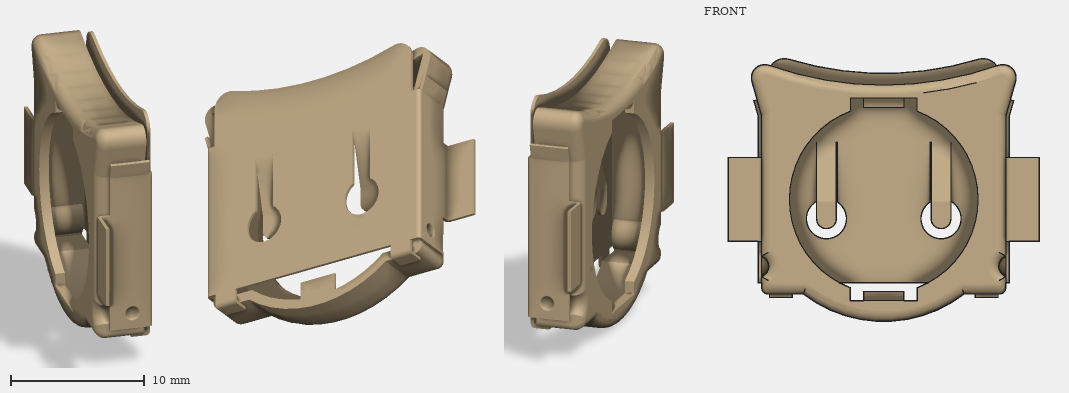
import cadquery as cq
import math


housing_depth = 3.68
shell = 0.75
side_x = 9.12
bottom_z = -7.07
flare_start_z = 6.23
top_corner = (10.42, 10.77)
top_middle_z = 8.54
top_corner_radius = 1.0
bottom_corner_radius = 0.5
bulge_half_width = 6.0
bulge_bottom_z = -9.12

opening_radius = 7.05
slot_half_width = 2.5
slot_half_height = 7.55
lip_half_width = 1.51
lip_inner_z = 6.86
lip_thickness = 0.16

sheet = 0.25
bend_inner = 0.07
bend_outer = bend_inner + sheet
clip_back_y = 4.33
plate_front_y = clip_back_y - sheet
wing_outer_x = side_x + sheet
wing_front_y = 1.0
wing_top_z = flare_start_z
wing_bottom_z = -wing_top_z
ear_length = 1.25

guide_half_width = 8.63
guide_middle_z = 9.42
guide_corner_z = 11.0
guide_corner_radius = 1.2

solder_end_x = 11.63
solder_front_y = 0.07
solder_half_height = 3.15

leg_inner_x = 6.82
leg_outer_x = 8.54
foot_front_y = 2.85

finger_x = 4.28
finger_width = 1.5
finger_root_z = 4.25
finger_bend_z = 3.77
finger_bend_drop = 0.07
finger_flat_z = -0.16
finger_front_y = 3.05
finger_tip_z = -1.45
finger_clearance = 0.05
tip_hole_radius = 1.5

detent_y = 2.75
detent_z = -5.0
dimple_radius = 0.51
dimple_rim_radius = 0.12
dimple_clearance = 0.02
notch_radius = dimple_radius + sheet + dimple_clearance


def box(x_range, y_range, z_range):
    """Box given by its limits along X, Y and Z."""
    (x0, x1), (y0, y1), (z0, z1) = x_range, y_range, z_range
    return cq.Workplane("XY").box(x1 - x0, y1 - y0, z1 - z0, centered=False).translate((x0, y0, z0))


def front_plane(y):
    """XZ work plane at the given Y; extruding by a negative length goes toward +Y."""
    return cq.Workplane("XZ", origin=(0, y, 0))


def both_sides(right_part):
    """The right-hand shape together with its mirror image."""
    return right_part.union(right_part.mirror("YZ"))


def housing_outline(y):
    corner_x, corner_z = top_corner
    return (
        front_plane(y)
        .moveTo(side_x, bottom_z)
        .lineTo(side_x, flare_start_z)
        .lineTo(corner_x, corner_z)
        .threePointArc((0, top_middle_z), (-corner_x, corner_z))
        .lineTo(-side_x, flare_start_z)
        .lineTo(-side_x, bottom_z)
        .lineTo(-bulge_half_width, bottom_z)
        .threePointArc((0, bulge_bottom_z), (bulge_half_width, bottom_z))
        .close()
    )


def housing_block():
    block = housing_outline(0).extrude(-housing_depth)
    bottom_corner = (side_x, bottom_z)
    for corner, radius in ((top_corner, top_corner_radius), (bottom_corner, bottom_corner_radius)):
        for side in (-1, 1):
            spot = (side * corner[0], housing_depth / 2, corner[1])
            block = block.edges("|Y").edges(cq.NearestToPointSelector(spot)).fillet(radius)
    return block.faces("<Y").edges().fillet(shell)


def housing_cavity():
    cavity = housing_outline(shell).offset2D(-shell, "intersection").extrude(shell - housing_depth)
    notch_wall = front_plane(0).pushPoints([(-wing_outer_x, detent_z), (wing_outer_x, detent_z)])
    return cavity.cut(notch_wall.circle(notch_radius + shell).extrude(-housing_depth))


def front_opening():
    round_hole = front_plane(0).circle(opening_radius).extrude(-shell)
    slot = front_plane(0).rect(2 * slot_half_width, 2 * slot_half_height).extrude(-shell)
    return round_hole.union(slot)


def notch_cutter():
    """Round groove along Y, flared where the front rounding runs around it."""
    flare_radius = notch_radius + shell
    flare_mid = shell * (1 - math.sqrt(0.5))
    groove = (
        cq.Workplane("XY")
        .moveTo(0, 0)
        .lineTo(flare_radius, 0)
        .threePointArc((notch_radius + flare_mid, flare_mid), (notch_radius, shell))
        .lineTo(notch_radius, housing_depth)
        .lineTo(0, housing_depth)
        .close()
        .revolve(360, (0, 0, 0), (0, 1, 0))
    )
    return both_sides(groove.translate((wing_outer_x, 0, detent_z)))


def battery_lips():
    """Upper and lower lips at the back that hold the battery in."""
    lip_width = (-lip_half_width, lip_half_width)
    lip_depth = (housing_depth - lip_thickness, housing_depth)
    upper = box(lip_width, lip_depth, (lip_inner_z, top_middle_z - shell / 2))
    lower = box(lip_width, lip_depth, (bulge_bottom_z + shell / 2, -lip_inner_z))
    return upper.union(lower)


def make_housing():
    body = housing_block().cut(housing_cavity()).cut(front_opening()).cut(notch_cutter())
    return body.union(battery_lips())


def back_plate():
    """Plate behind the housing with the curved battery guide on top."""
    half_width = side_x - bend_inner
    main = box((-half_width, half_width), (plate_front_y, clip_back_y), (wing_bottom_z, wing_top_z))
    guide = (
        front_plane(plate_front_y)
        .moveTo(guide_half_width, 0)
        .lineTo(guide_half_width, guide_corner_z)
        .threePointArc((0, guide_middle_z), (-guide_half_width, guide_corner_z))
        .lineTo(-guide_half_width, 0)
        .close()
        .extrude(-sheet)
        .edges("|Y and >Z")
        .fillet(guide_corner_radius)
    )
    return main.union(guide)


def round_bend(body, axis, inner_corner, outer_corner):
    """Round both faces of one sheet bend that runs along the given axis."""
    for corner, radius in ((inner_corner, bend_inner), (outer_corner, bend_outer)):
        body = body.edges("|" + axis).edges(cq.NearestToPointSelector(corner)).fillet(radius)
    return body


def right_wing():
    """Side wall of the clip, bent from the back plate."""
    mid_z = (wing_bottom_z + wing_top_z) / 2
    z_range = (wing_bottom_z, wing_top_z)
    side = box((side_x, wing_outer_x), (wing_front_y, clip_back_y), z_range)
    root = box((guide_half_width, wing_outer_x), (plate_front_y, clip_back_y), z_range)
    inner_corner = (side_x, plate_front_y, mid_z)
    outer_corner = (wing_outer_x, clip_back_y, mid_z)
    return round_bend(side.union(root), "Z", inner_corner, outer_corner)


def right_ear():
    """Leaning end of the wing that lies on the flared side of the housing."""
    lean = math.degrees(math.atan2(top_corner[0] - side_x, top_corner[1] - flare_start_z))
    y_range = (wing_front_y, clip_back_y - bend_outer)
    ear = box((side_x, wing_outer_x), y_range, (wing_top_z - sheet / 2, wing_top_z + ear_length))
    ear = ear.rotate((side_x, 0, wing_top_z), (side_x, 1, wing_top_z), lean)
    return ear.intersect(box((side_x, solder_end_x), y_range, (wing_top_z, top_corner[1])))


def right_solder_tab():
    """Tab bent outward from the front edge of the wing."""
    z_range = (-solder_half_height, solder_half_height)
    neck = box((side_x, wing_outer_x), (solder_front_y, wing_front_y), z_range)
    tab = box((side_x, solder_end_x), (solder_front_y, solder_front_y + sheet), z_range)
    inner_corner = (wing_outer_x, solder_front_y + sheet, 0)
    return round_bend(neck.union(tab), "Z", inner_corner, (side_x, solder_front_y, 0))


def right_foot():
    """Leg below the plate, bent forward under the flat bottom of the housing."""
    x_range = (leg_inner_x, leg_outer_x)
    mid_x = (leg_inner_x + leg_outer_x) / 2
    foot_bottom_z = bottom_z - sheet
    leg = box(x_range, (plate_front_y, clip_back_y), (foot_bottom_z, wing_bottom_z))
    foot = box(x_range, (foot_front_y, clip_back_y), (foot_bottom_z, bottom_z))
    inner_corner = (mid_x, plate_front_y, bottom_z)
    return round_bend(leg.union(foot), "X", inner_corner, (mid_x, clip_back_y, foot_bottom_z))


def right_finger_window():
    window = box(
        (finger_x - finger_width / 2 - finger_clearance, finger_x + finger_width / 2),
        (plate_front_y, clip_back_y),
        (finger_tip_z, finger_root_z),
    )
    hole = front_plane(plate_front_y).center(finger_x, finger_tip_z).circle(tip_hole_radius).extrude(-sheet)
    return window.union(hole)


def right_finger():
    """Spring finger that leans forward from the plate and ends in a flat round tip."""
    bend_end_y = plate_front_y - finger_bend_drop
    bend_mid = (plate_front_y - finger_bend_drop / 4, (finger_root_z + finger_bend_z) / 2)
    strip = (
        cq.Workplane("YZ", origin=(finger_x - finger_width / 2, 0, 0))
        .moveTo(plate_front_y, finger_root_z)
        .threePointArc(bend_mid, (bend_end_y, finger_bend_z))
        .lineTo(finger_front_y, finger_flat_z)
        .lineTo(finger_front_y, finger_tip_z)
        .lineTo(finger_front_y + sheet, finger_tip_z)
        .lineTo(finger_front_y + sheet, finger_flat_z)
        .lineTo(bend_end_y + sheet, finger_bend_z)
        .threePointArc((bend_mid[0] + sheet, bend_mid[1]), (clip_back_y, finger_root_z))
        .close()
        .extrude(finger_width)
    )
    tip = front_plane(finger_front_y).center(finger_x, finger_tip_z).circle(finger_width / 2).extrude(-sheet)
    return strip.union(tip)


def right_dimple():
    """Round bump of the wing that points inward, solid."""
    ball = cq.Workplane("XY").sphere(dimple_radius + sheet).translate((wing_outer_x, detent_y, detent_z))
    reach = dimple_radius + sheet
    inward_half = box(
        (wing_outer_x - reach, wing_outer_x),
        (detent_y - reach, detent_y + reach),
        (detent_z - reach, detent_z + reach),
    )
    return ball.intersect(inward_half)


def right_dimple_hollow():
    """Ball-shaped hollow whose rim is rounded into the outer face of the wing."""
    touch_angle = math.asin(dimple_rim_radius / (dimple_radius + dimple_rim_radius))
    mid_angle = math.pi / 4 + touch_angle / 2
    rim_center_radius = (dimple_radius + dimple_rim_radius) * math.cos(touch_angle)
    rim_mid = (
        rim_center_radius - dimple_rim_radius * math.cos(mid_angle),
        dimple_rim_radius - dimple_rim_radius * math.sin(mid_angle),
    )
    ball_edge = (dimple_radius * math.cos(touch_angle), dimple_radius * math.sin(touch_angle))
    ball_mid = (dimple_radius * math.cos(mid_angle), dimple_radius * math.sin(mid_angle))
    hollow = (
        cq.Workplane("XY")
        .moveTo(0, 0)
        .lineTo(rim_center_radius, 0)
        .threePointArc(rim_mid, ball_edge)
        .threePointArc(ball_mid, (0, dimple_radius))
        .close()
        .revolve(360, (0, 0, 0), (0, 1, 0))
    )
    return hollow.rotate((0, 0, 0), (0, 0, 1), 90).translate((wing_outer_x, detent_y, detent_z))


def make_clip():
    right_parts = right_wing().union(right_ear()).union(right_solder_tab())
    right_parts = right_parts.union(right_foot()).union(right_dimple())
    clip = back_plate().union(both_sides(right_parts))
    clip = clip.cut(both_sides(right_finger_window())).cut(both_sides(right_dimple_hollow()))
    return clip.union(both_sides(right_finger()))


housing = make_housing()
clip = make_clip()
result = cq.Compound.makeCompound([housing.solids().val(), clip.solids().val()])